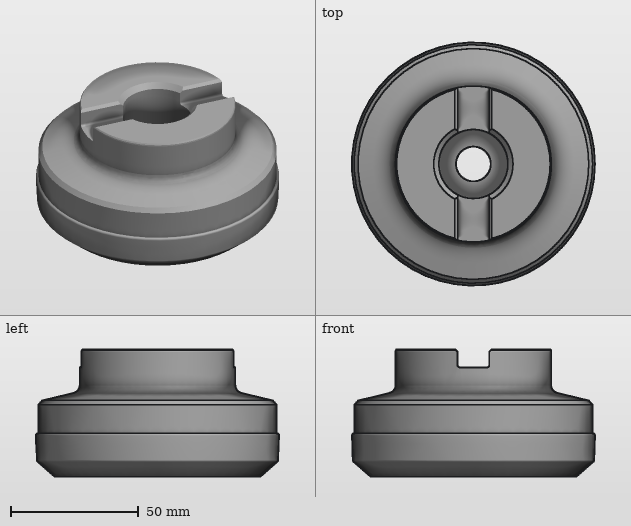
import cadquery as cq

total_height = 50.0
base_height = 17.0
through_hole_diameter = 13.5

base_top_radius = 47.6
base_lower_radius = 47.2
base_bottom_radius = 40.2
foot_bevel_height = 6.2
base_top_rounding = 0.9
foot_rounding = 0.95

flange_radius = 46.65
boss_diameter = 61.0
boss_radius = boss_diameter / 2
flange_bevel_bottom = 28.2
shoulder_radius = 45.1
shoulder_height = 29.9
boss_corner_height = 33.4
boss_root_rounding = 2.95
boss_chamfer_height = 1.0
boss_chamfer_lower_width = 0.1
boss_chamfer_width = 0.5

bore_diameter = 27.0
bore_depth = 20.0
bore_chamfer = 2.0
bore_floor_rounding = 0.6

slot_width = 12.4
slot_depth = 7.1
slot_chamfer = 1.0
slot_floor_rounding = 0.95


def cylinder(radius, bottom, height):
    return cq.Workplane("XY").workplane(offset=bottom).circle(radius).extrude(height)


def revolve_profile(points):
    """Revolve a closed (radius, height) outline about Z."""
    return cq.Workplane("XZ").polyline(points).close().revolve(360, (0, 0), (0, 1))


def round_circle(body, radius, height, rounding):
    """Round the horizontal circular edge of the given radius and height."""
    tolerance = 0.01

    def matches(edge):
        if edge.geomType() != "CIRCLE":
            return False
        return abs(edge.radius() - radius) < tolerance and abs(edge.Center().z - height) < tolerance

    edges = [edge for edge in body.edges().vals() if matches(edge)]
    return body.newObject(edges).fillet(rounding)


def make_base():
    rim_top = base_height - base_top_rounding
    rim_middle = (foot_bevel_height + rim_top) / 2
    rim_sag = base_top_radius - base_lower_radius
    rim_middle_radius = base_top_radius - rim_sag / 4
    base = (
        cq.Workplane("XZ")
        .lineTo(base_bottom_radius, 0)
        .lineTo(base_lower_radius, foot_bevel_height)
        .threePointArc((rim_middle_radius, rim_middle), (base_top_radius, rim_top))
        .tangentArcPoint((base_top_radius - base_top_rounding, base_height), relative=False)
        .lineTo(0, base_height)
        .close()
        .revolve(360, (0, 0), (0, 1))
    )
    base = round_circle(base, base_lower_radius, foot_bevel_height, foot_rounding)
    return base.cut(cylinder(through_hole_diameter / 2, 0, base_height))


def make_bore_cutter():
    bore_radius = bore_diameter / 2
    bore_floor = total_height - bore_depth
    bore = cylinder(bore_radius, bore_floor, bore_depth)
    bore = round_circle(bore, bore_radius, bore_floor, bore_floor_rounding)
    mouth = revolve_profile([
        (0, total_height - bore_chamfer),
        (bore_radius, total_height - bore_chamfer),
        (bore_radius + bore_chamfer, total_height),
        (0, total_height),
    ])
    return bore.union(mouth)


def make_slot_cutter():
    slot_length = 2 * boss_radius
    half_width = slot_width / 2
    slot = cq.Workplane("XY").workplane(offset=total_height - slot_depth)
    slot = slot.rect(slot_width, slot_length).extrude(slot_depth)
    slot = slot.edges("|Y and <Z").fillet(slot_floor_rounding)
    mouth = (
        cq.Workplane("XZ", origin=(0, boss_radius, 0))
        .moveTo(-half_width, total_height - slot_chamfer)
        .lineTo(half_width, total_height - slot_chamfer)
        .lineTo(half_width + slot_chamfer, total_height)
        .lineTo(-half_width - slot_chamfer, total_height)
        .close()
        .extrude(slot_length)
    )
    return slot.union(mouth)


def make_hub():
    hub = revolve_profile([
        (0, base_height),
        (flange_radius, base_height),
        (flange_radius, flange_bevel_bottom),
        (shoulder_radius, shoulder_height),
        (boss_radius, boss_corner_height),
        (boss_radius, total_height - boss_chamfer_height),
        (boss_radius - boss_chamfer_lower_width, total_height - boss_chamfer_height / 2),
        (boss_radius - boss_chamfer_width, total_height),
        (0, total_height),
    ])
    hub = round_circle(hub, boss_radius, boss_corner_height, boss_root_rounding)
    hub = hub.cut(cylinder(through_hole_diameter / 2, base_height, total_height - base_height))
    return hub.cut(make_bore_cutter()).cut(make_slot_cutter())


base = make_base()
hub = make_hub()

result = cq.Compound.makeCompound([base.val(), hub.val()])